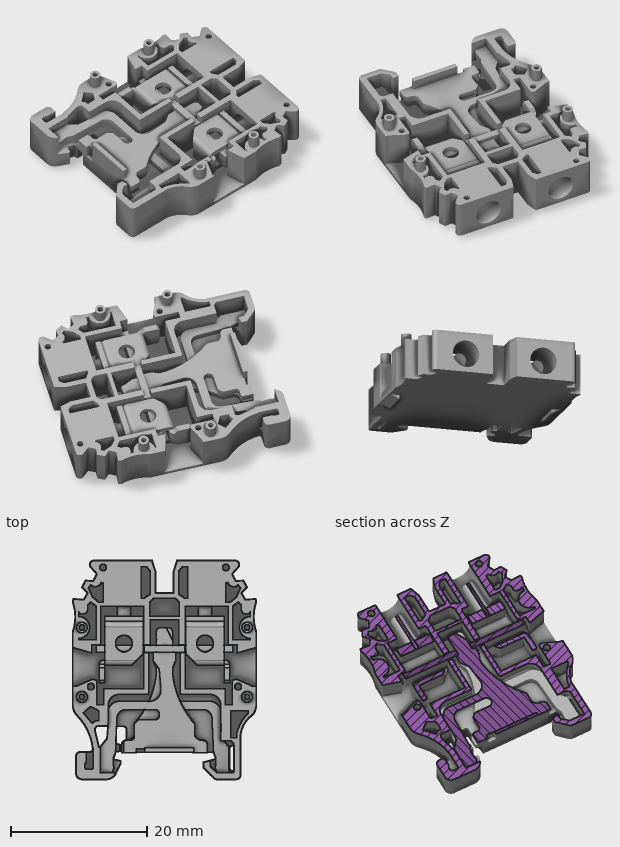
import cadquery as cq

housing_height = 6.05
floor_height = 0.58
post_top = 8.02
hook_drop = 0.58
leaf_thickness = 1.0
foot_bottom = 2.45
foot_middle = foot_bottom + leaf_thickness
retainer_floor = 2.05
cut_top = housing_height + 0.32

housing_width = 27.0
half_width = housing_width / 2
housing_length = 32.2
front_face_y = 4.0
post_x = 12.15
post_ys = (12.15, 22.35)
post_radius = 0.77
post_bore_radius = 0.42
boss_x = 12.62
boss_radius = 1.6
socket_places = ((9, 31.17), (10.82, 13.65))
socket_radius = 0.48
left_hook_inner_x = -11.53
right_hook_inner_x = 11.85
hook_width = 1.35
hook_y_range = (13.27, 18.23)
chamber_inner_x = 3.03
chamber_top_y = 25.45

clamp_x_range = (3.15, 8.75)
clamp_y_range = (16.78, 24.02)
clamp_z_range = (0.68, 4.83)
clamp_wall = 0.77
clamp_corner_length = 1.67
window_y = 20.0
window_radius = 1.22
tab_outer_x = 9.6
tab_end_y = 14.2
tab_z_range = (1.03, 4.6)
tab_taper_y_range = (16.42, 16.9)
tab_chamfer = 0.35
tab_bend_radius = 0.65
screw_x = (clamp_x_range[0] + clamp_x_range[1]) / 2
screw_z = (clamp_z_range[0] + clamp_z_range[1]) / 2
screw_radius = 1.0
screw_end_y = 28.98
driver_hole_radius = 2.03
clamp_bore_bottom = clamp_y_range[1] - 2 * clamp_wall

busbar_half_length = 10.0
busbar_bridge_half_length = 2.95
busbar_y_range = (18.75, 19.7)
busbar_z_range = (1.55, 4.0)
busbar_bridge_top = 5.02
busbar_clearance = 0.1


def prism(steps, bottom, top):
    """A straight block on the given outline, between two heights."""
    wire = cq.Workplane("XY", origin=(0, 0, bottom)).moveTo(*steps[0])
    for step in steps[1:]:
        if isinstance(step[0], tuple):
            wire = wire.threePointArc(*step)
        else:
            wire = wire.lineTo(*step)
    return wire.close().extrude(top - bottom)


def block(x_range, y_range, z_range):
    """A box between the given limits."""
    size = [limits[1] - limits[0] for limits in (x_range, y_range, z_range)]
    corner = (x_range[0], y_range[0], z_range[0])
    return cq.Workplane("XY").box(*size, centered=False).translate(corner)


def post(x, y, radius, bottom, top):
    """An upright cylinder."""
    return cq.Workplane("XY", origin=(x, y, bottom)).circle(radius).extrude(top - bottom)


def rod(x, z, radius, start_y, end_y):
    """A cylinder along Y."""
    plane = cq.Workplane("XZ", origin=(x, start_y, z))
    return plane.circle(radius).extrude(start_y - end_y)


def mirrored(shape):
    """The copy of a shape on the other side of the X = 0 plane."""
    return shape.mirror("YZ")


def both_sides(shape):
    return shape.union(mirrored(shape))


def mirrored_back(steps):
    """The steps along the mirror image of the given ones, from its last point back to its first."""
    ends = [step[1] if isinstance(step[0], tuple) else step for step in steps]
    back = []
    for step, (end_x, end_y) in zip(reversed(steps), reversed(ends[:-1])):
        if isinstance(step[0], tuple):
            middle_x, middle_y = step[0]
            back.append(((-middle_x, middle_y), (-end_x, end_y)))
        else:
            back.append((-end_x, end_y))
    return back


def housing_blank():
    upper_right = [
        (1.32, 27.45), (1.32, 30.55), (1.85, housing_length), (10.4, housing_length),
        ((10.82, 32.0), (10.98, 31.62)), (10.98, 31.35), (9.95, 30.2), (10.5, 29.17), (11.6, 29.27),
        (12.15, 28.25), (11.3, 27.45), (11.88, 26.45), (13.4, 26.55), (half_width, 26.15),
        ((13.15, 23.9), (half_width, 21.67)), (half_width, 10.95), ((13.33, 10.1), (12.9, 9.47)),
    ]
    right_leg = [
        ((11.72, 8.15), (11.2, 6.6)), (11.2, 0.75), ((11.0, 0.23), (10.5, 0)), (7.8, 0),
        ((7.47, 0.05), (7.2, 0.25)), (5.73, 1.7), (5.73, 2.55), (7.3, 2.95), (7.55, 3.1),
        (7.2, 3.93), (7.1, front_face_y),
    ]
    left_slot = [
        (-5.05, front_face_y), ((-5.22, 5.15), (-5.6, 5.85)), (-5.6, 7.4),
        ((-5.7, 7.65), (-5.95, 7.8)), (-7.05, 7.8), (-7.12, 5.28), (-6.55, 5.12),
        (-6.55, 4.15), (-7.2, 4.02),
    ]
    left_leg = [
        (-7.2, 3.8), (-7.55, 3.0), (-6.5, 2.75), ((-6.4, 2.58), (-6.5, 2.25)), (-7.1, 1.03),
        ((-7.65, 0.3), (-8.5, 0)), (-12.0, 0), ((-12.75, 0.3), (-13.05, 1.03)), (-13.05, 3.45),
        ((-12.85, 3.85), (-12.43, 4.05)), (-10.85, 4.05), (-10.53, 4.35), ((-11.37, 7.3), (-12.9, 9.47)),
    ]
    outline = upper_right + right_leg + left_slot + left_leg + mirrored_back(upper_right)
    return prism(outline, 0, housing_height)


def clamp_chamber():
    """The room for one clamp, with its flared wire entry and the trench for the clamp tab."""
    room = [
        (chamber_inner_x, chamber_top_y), (9.35, chamber_top_y), (9.35, 19.8), (10.65, 19.8),
        (10.65, 18.58), (13.85, 19.5), (13.85, 13.7), (13.05, 13.7), (10.75, 14.68), ((10.43, 14.7), (9.98, 14.55)),
        (9.98, 10.98), (8.92, 10.98), (8.92, 13.33), (chamber_inner_x, 13.33),
    ]
    driver_hole = rod(screw_x, screw_z, driver_hole_radius, chamber_top_y, housing_length + 0.32)
    return prism(room, floor_height, cut_top).union(driver_hole)


def paired_pockets():
    """The hollows that both sides of the housing share."""
    marker_slot = [(3.38, 31.25), (2.6, 31.25), (2.05, 30.6), (2.05, 27.27), (2.95, 26.65), (3.38, 26.65)]
    notch_hollow = [
        (8.98, 26.08), (9.7, 26.08), (10.6, 26.85), (11.17, 28.15), (10.82, 28.6),
        ((10.15, 28.35), (9.27, 28.98)), (8.98, 28.82),
    ]
    corner_hollow = [
        (12.62, 20.5), (10.0, 20.5), (10.0, 25.45), (10.85, 26.08), (11.3, 25.6), (11.3, 24.95),
        ((11.45, 24.55), (11.9, 24.38)), (12.43, 24.38), (12.62, 24.63),
    ]
    post_boss = post(boss_x, post_ys[1], boss_radius, 0, cut_top)
    pockets = prism(corner_hollow, floor_height, cut_top).cut(post_boss)
    for outline in (marker_slot, notch_hollow):
        pockets = pockets.union(prism(outline, floor_height, cut_top))
    for x, y in socket_places:
        pockets = pockets.union(post(x, y, socket_radius, floor_height, cut_top))
    return both_sides(pockets)


def single_pockets():
    """The hollows on the middle line and the two unlike ones above the legs."""
    bridge_hollow = [(-2.15, 24.02), (-2.15, 26.08), (-1.58, 26.65), (1.58, 26.65), (2.15, 26.08), (2.15, 24.02)]
    head_hollow = [(-2.1, 19.32), (-2.1, 23.47), (2.1, 23.47), (2.1, 19.32)]
    left_hollow = [(-11.9, 9.8), (-10.88, 10.72), (-9.63, 10.08), (-9.63, 8.65), (-10.08, 8.65), (-10.63, 8.28)]
    right_hollow = [
        (9.72, 10.1), (12.33, 10.1), (12.33, 9.8), ((11.15, 8.18), (10.6, 6.75)), (10.6, 6.15), (9.72, 6.15),
    ]
    pockets = prism(bridge_hollow, floor_height, cut_top)
    for outline in (head_hollow, left_hollow, right_hollow):
        pockets = pockets.union(prism(outline, floor_height, cut_top))
    return pockets


def foot_recess():
    """The arched room for the rail foot, its ends in both legs, and the openings beside the arms."""
    half_arch = [
        (0, 18.65), (2.3, 18.65), (2.3, 12.53), (6.6, 12.53), ((7.8, 12.05), (8.28, 10.88)),
        (8.28, 4.67), (0, 4.67),
    ]
    right_end = [
        (8.25, 5.67), (9.8, 5.67), (10.2, 5.25), (10.2, 0.95), (7.8, 0.95), (6.75, 1.87), (6.63, 3.22),
        (4.28, 3.22), (4.28, 5.67),
    ]
    left_end = [
        (-2.9, 7.73), (-2.9, 3.22), (-5.8, 3.22), (-5.8, 1.03), (-9.47, 1.03), (-9.47, 5.15), (-8.53, 6.02), (-8.53, 7.73),
    ]
    left_opening = [
        (-9.9, 7.85), (-8.3, 7.85), (-8.47, 6.02), (-9.47, 4.75), (-9.63, 4.75),
        (-10.18, 7.1), ((-10.15, 7.6), (-9.9, 7.85)),
    ]
    right_opening = [(9.6, 4.83), (10.2, 5.02), (10.2, 1.3), (9.72, 1.3), (9.6, 1.6)]
    recess = both_sides(prism(half_arch, foot_bottom, cut_top))
    for outline in (right_end, left_end):
        recess = recess.union(prism(outline, foot_bottom, cut_top))
    for outline in (left_opening, right_opening):
        recess = recess.union(prism(outline, -0.32, cut_top))
    return recess


def busbar_notch():
    y_range = (busbar_y_range[0] - busbar_clearance, busbar_y_range[1] + busbar_clearance)
    return block((-chamber_inner_x, chamber_inner_x), y_range, (busbar_z_range[0], cut_top))


def retainer_slot():
    """The slot behind the left heel, open towards the leg."""
    slot = [
        (-11.53, 4.5), (-11.53, 2.58), (-11.7, 2.25), (-11.7, 1.7), (-11.5, 1.48), (-10.7, 1.48),
        (-10.5, 1.67), (-10.5, 4.5),
    ]
    return prism(slot, retainer_floor, cut_top)


def posts():
    """Posts that stand on the open face, on both sides."""
    standing = cq.Workplane("XY")
    for y in post_ys:
        standing = standing.add(post(post_x, y, post_radius, foot_bottom, post_top))
    return both_sides(standing.combine())


def hook(inner_x, width):
    """A wedge under the base, deepest at its inner side; a negative width points it towards -X."""
    start_y, end_y = hook_y_range
    wedge = cq.Workplane("XZ", origin=(inner_x, start_y, 0))
    wedge = wedge.polyline([(0, 0), (width, 0), (0, -hook_drop)]).close()
    return wedge.extrude(start_y - end_y)


def post_bores():
    bores = cq.Workplane("XY")
    for y in post_ys:
        bores = bores.add(post(post_x, y, post_bore_radius, housing_height, post_top))
    return both_sides(bores.combine())


def make_housing(foot):
    body = housing_blank()
    body = body.cut(both_sides(clamp_chamber()))
    body = body.cut(paired_pockets())
    body = body.cut(single_pockets())
    body = body.cut(foot_recess())
    body = body.cut(busbar_notch())
    body = body.cut(retainer_slot())
    body = body.union(posts())
    body = body.union(hook(left_hook_inner_x, -hook_width))
    body = body.union(hook(right_hook_inner_x, hook_width))
    return body.cut(post_bores()).cut(foot)


def foot_leaf(bottom):
    """A sheet with a head, a bell-shaped middle and one sprung arm on the -X side."""
    shoulder_y = busbar_y_range[0]
    outline = [
        (1.2, shoulder_y), (1.2, 20.45), (0.25, 22.3), (-0.6, 22.3), ((-1.03, 22.12), (-1.2, 21.75)),
        (-1.2, shoulder_y), (-1.65, shoulder_y), (-1.65, 17.4), (-0.77, 16.23), (-0.5, 13.15),
        ((-0.95, 12.05), (-2.13, 11.5)), (-6.9, 11.5), ((-7.73, 11.1), (-8.28, 10.3)), (-8.3, 7.85),
        (-8.47, 6.02), (-9.47, 4.75), (-9.47, 1.03), (-7.7, 1.03), (-7.47, 1.6), (-7.57, 3.03),
        (-7.2, 3.93), (-7.0, 9), ((-6.6, 9.9), (-5.73, 10.27)), (-1.3, 10.27),
        ((-0.75, 9.53), (-1.3, 8.8)), (-3.85, 8.8), (-4.48, 8.18), (-4.48, 6.05), (-4.83, 5.8), (-5.6, 5.8),
        (-6.0, 5.6), (-6.0, 3.93), (-4.2, 3.93), (-4.2, 4.5), (4.2, 4.5), (4.2, 3.93), (6.3, 3.93),
        (6.3, 5.15), ((6.12, 5.57), (5.47, 5.83)), ((4.83, 6.02), (4.48, 6.5)), (4.48, 8.18),
        ((2.25, 11.6), (1.2, 15.45)), (1.2, 16.42), (1.65, 17.4), (1.65, shoulder_y),
    ]
    return prism(outline, bottom, bottom + leaf_thickness)


def make_foot():
    """Two leaves back to back, the lower one turned over so that its arm is on the +X side."""
    return foot_leaf(foot_middle).union(mirrored(foot_leaf(foot_bottom)), clean=False)


def make_busbar(foot):
    bar = block((-busbar_half_length, busbar_half_length), busbar_y_range, busbar_z_range)
    bridge_x_range = (-busbar_bridge_half_length, busbar_bridge_half_length)
    bridge = block(bridge_x_range, busbar_y_range, (busbar_z_range[0], busbar_bridge_top))
    return bar.union(bridge).cut(foot)


def clamp_tab():
    """The tab that closes the wire entry: it leaves the clamp sideways and bends down."""
    bottom, top = tab_z_range
    neck_bottom = clamp_z_range[0] + clamp_wall
    neck_top = clamp_z_range[1] - clamp_wall
    root_y = clamp_y_range[0] + clamp_wall
    flare_y, neck_y = tab_taper_y_range
    side = [
        (root_y, neck_bottom), (neck_y, neck_bottom), (flare_y, bottom), (tab_end_y + tab_chamfer, bottom),
        (tab_end_y, bottom + tab_chamfer), (tab_end_y, top - tab_chamfer), (tab_end_y + tab_chamfer, top),
        (flare_y, top), (neck_y, neck_top), (root_y, neck_top),
    ]
    plane = cq.Workplane("YZ", origin=(clamp_x_range[1], 0, 0))
    tab = plane.polyline(side).close().extrude(tab_outer_x - clamp_x_range[1])
    return tab.edges("|Z").edges(">X and >Y").fillet(tab_bend_radius)


def make_clamp():
    """A folded box open along X, with a doubled wall for the screw and a window in its upper face."""
    bottom, top = clamp_z_range
    inner_x, outer_x = clamp_x_range
    low_y, high_y = clamp_y_range
    body = block(clamp_x_range, clamp_y_range, clamp_z_range)
    body = body.edges("|X and <Y").fillet(clamp_wall)
    inside_y_range = (low_y + clamp_wall, clamp_bore_bottom)
    inside = block(clamp_x_range, inside_y_range, (bottom + clamp_wall, top - clamp_wall))
    fold_y = high_y - clamp_wall
    fold = cq.Workplane("YZ", origin=(inner_x, 0, 0)).moveTo(clamp_bore_bottom, top).lineTo(fold_y, top)
    fold = fold.lineTo(fold_y, top - clamp_wall).radiusArc((clamp_bore_bottom, top), -clamp_wall)
    fold = fold.close().extrude(outer_x - inner_x)
    cut_corner = [
        (inner_x, low_y),
        (inner_x + clamp_corner_length, low_y),
        (inner_x, low_y + clamp_corner_length),
    ]
    body = body.cut(inside).cut(fold)
    body = body.cut(prism(cut_corner, bottom, top))
    body = body.cut(post(screw_x, window_y, window_radius, top - clamp_wall, top))
    body = body.union(clamp_tab())
    return body.cut(make_screw())


def make_screw():
    return rod(screw_x, screw_z, screw_radius, clamp_bore_bottom, screw_end_y)


foot = make_foot()
housing = make_housing(foot)
busbar = make_busbar(foot)
bodies = [housing.val(), foot.val(), busbar.val()]
for part in (make_clamp(), make_screw()):
    for copy in (part, mirrored(part)):
        bodies.append(copy.val())

result = cq.Compound.makeCompound(bodies)